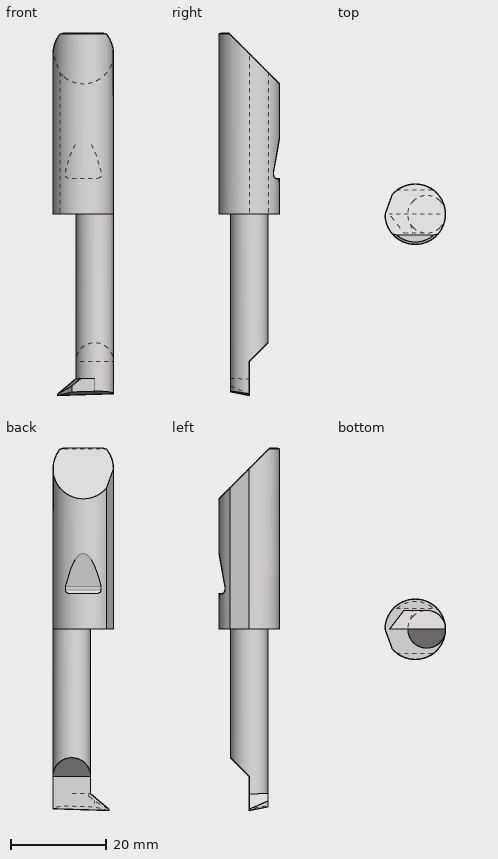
import cadquery as cq
import math

length = 76.2
shank_radius = 6.36
shank_bottom = 38.1
neck_radius = 4.0
neck_x = shank_radius - neck_radius

bevel_start_y = -4.35
rim_width = 0.5
rim_height = 0.2
flat_direction = 160.0
flat_half_angle = 20.0
notch_bottom = 45.6
notch_depth = 1.2
notch_angle = 10.0
notch_wall = 1.5
notch_fillet = 0.8

tip_x = -5.4
tip_land = 0.3
head_height = 3.6
flank_top_x = -1.5
flank_shift = 1.0
floor_rise = 0.7
floor_tilt = 1.8
rake_height = 7.2
heel_x = -2.4

margin = 0.8


def side_prism(points, half_width):
    """Prism along X from (y, z) points, centred on X = 0."""
    return cq.Workplane("YZ").polyline(points).close().extrude(half_width, both=True)


def cross_loft(rear_points, front_points, rear_y, front_y):
    """Straight-sided solid between two (x, z) outlines at different Y."""
    rear = cq.Workplane("XZ", origin=(0, rear_y, 0)).polyline(rear_points).close()
    front = rear.workplane(offset=rear_y - front_y).polyline(front_points).close()
    return front.loft(ruled=True, combine=True)


def make_shank():
    rim = [
        (0, shank_bottom),
        (shank_radius, shank_bottom),
        (shank_radius, length - rim_height),
        (shank_radius - rim_width, length),
        (0, length),
    ]
    shank = cq.Workplane("XZ").polyline(rim).close().revolve(360, (0, 0, 0), (0, 1, 0))

    flat_distance = shank_radius * math.cos(math.radians(flat_half_angle))
    flat_cutter = (
        cq.Workplane("XY")
        .box(shank_radius, 2 * shank_radius, length, centered=(False, True, False))
        .translate((flat_distance, 0, 0))
        .rotate((0, 0, 0), (0, 0, 1), flat_direction)
    )

    far_y = shank_radius + margin
    bevel_cutter = side_prism(
        [
            (bevel_start_y - margin, length + margin),
            (far_y, length + margin),
            (far_y, length - far_y + bevel_start_y),
        ],
        shank_radius + margin,
    )

    floor_y = shank_radius - notch_depth
    wall_top = notch_bottom + notch_wall
    slope_height = (notch_depth + margin) / math.tan(math.radians(notch_angle))
    notch_cutter = side_prism(
        [
            (far_y, notch_bottom),
            (floor_y, notch_bottom),
            (floor_y, wall_top),
            (far_y, wall_top + slope_height),
        ],
        shank_radius + margin,
    )
    notch_cutter = notch_cutter.edges(
        cq.selectors.NearestToPointSelector((0, floor_y, notch_bottom))
    ).fillet(notch_fillet)
    return shank.cut(flat_cutter).cut(bevel_cutter).cut(notch_cutter)


def make_neck():
    neck = cq.Workplane("XY").center(neck_x, 0).circle(neck_radius).extrude(shank_bottom)
    far_y = neck_radius + margin
    rake_cutter = side_prism(
        [(0, -margin), (far_y, -margin), (far_y, rake_height + far_y), (0, rake_height)],
        shank_radius + margin,
    )
    return neck.cut(rake_cutter)


def make_head():
    def outline(shift):
        return [
            (tip_x + shift, 0),
            (neck_x, 0),
            (neck_x, head_height),
            (flank_top_x + shift, head_height),
            (tip_x + shift, tip_land),
        ]

    head = cross_loft(outline(0), outline(flank_shift), 0, -neck_radius)

    clearance_outline = [(tip_x, 0), (neck_x, 0), (neck_x, -neck_radius), (heel_x, -neck_radius)]
    keep = cq.Workplane("XY").polyline(clearance_outline).close().extrude(head_height)
    return head.intersect(keep)


def make_floor_cutter():
    right_x = shank_radius + margin
    tilt_rise = (right_x - tip_x) * math.tan(math.radians(floor_tilt))

    def outline(rise):
        return [
            (tip_x, rise),
            (right_x, rise + tilt_rise),
            (right_x, -margin),
            (tip_x, -margin),
        ]

    return cross_loft(outline(0), outline(floor_rise), 0, -neck_radius)


result = make_shank().union(make_neck().union(make_head()).cut(make_floor_cutter()))